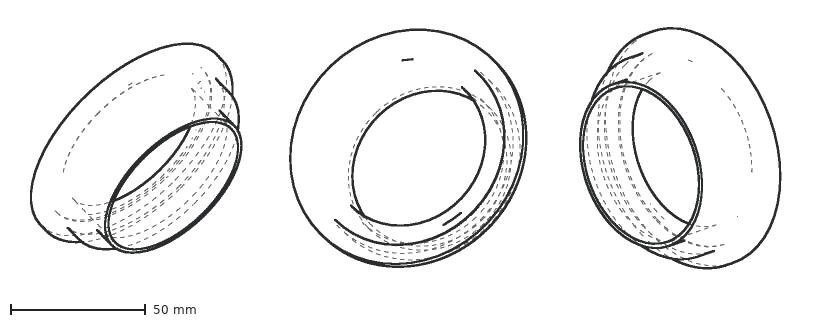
import cadquery as cq
import math

total_length = 27.5
shoulder_x = 17.5

flange_radius = 91 / 2
hub_radius = 78.0 / 2
neck_radius = 63.5 / 2

taper_start_x = 4.2
taper_angle = 20
taper_length = (flange_radius - hub_radius) * math.tan(math.radians(taper_angle))
taper_end_x = taper_start_x + taper_length

bore_radius = 60.2 / 2
recess_radius = 75.9 / 2
recess_depth = 1.3

lip_x = 0.8
groove_outer_radius = 34.5
groove_inner_radius = 31.5
groove_depth = 0.5
groove_mid_radius = (groove_outer_radius + groove_inner_radius) / 2

rim_fillet = 1.0
root_fillet = 2.0
shoulder_fillet = 1.7
neck_fillet = 1.55
recess_rim_fillet = 0.4
recess_floor_fillet = 0.5
groove_outer_fillet = 0.4
lip_outer_fillet = 0.55
lip_bore_fillet = 0.7

profile = (
    cq.Workplane("XY")
    .moveTo(0, recess_radius)
    .lineTo(0, flange_radius)
    .lineTo(taper_start_x, flange_radius)
    .lineTo(taper_end_x, hub_radius)
    .lineTo(shoulder_x, hub_radius)
    .lineTo(shoulder_x, neck_radius)
    .lineTo(total_length, neck_radius)
    .lineTo(total_length, bore_radius)
    .lineTo(lip_x, bore_radius)
    .lineTo(lip_x, groove_inner_radius)
    .threePointArc(
        (recess_depth + groove_depth, groove_mid_radius),
        (recess_depth, groove_outer_radius),
    )
    .lineTo(recess_depth, recess_radius)
    .close()
)
body = profile.revolve(360, (0, 0, 0), (1, 0, 0))


def round_circle(solid, x, radius, fillet):
    """Fillet the circular edge of the given radius at station x."""
    margin = 0.01
    edge = cq.selectors.BoxSelector(
        (x - margin, -radius - margin, -radius - margin),
        (x + margin, radius + margin, radius + margin),
        boundingbox=True,
    )
    ring = [e for e in solid.edges(edge).vals() if abs(e.radius() - radius) < margin]
    return solid.newObject(ring).fillet(fillet)


body = round_circle(body, taper_start_x, flange_radius, rim_fillet)
body = round_circle(body, taper_end_x, hub_radius, root_fillet)
body = round_circle(body, shoulder_x, hub_radius, shoulder_fillet)
body = round_circle(body, shoulder_x, neck_radius, neck_fillet)
body = round_circle(body, 0, recess_radius, recess_rim_fillet)
body = round_circle(body, recess_depth, recess_radius, recess_floor_fillet)
body = round_circle(body, recess_depth, groove_outer_radius, groove_outer_fillet)
body = round_circle(body, lip_x, groove_inner_radius, lip_outer_fillet)
body = round_circle(body, lip_x, bore_radius, lip_bore_fillet)

result = body